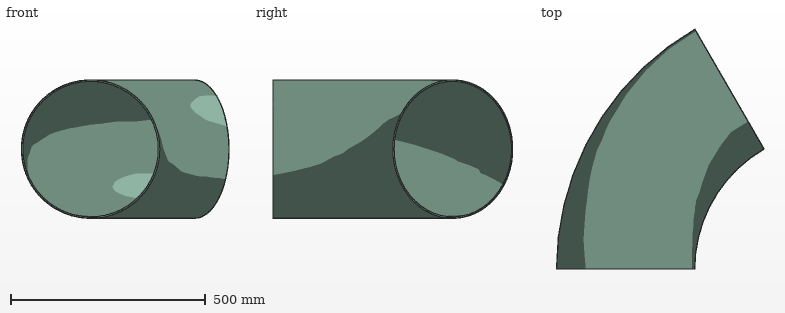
import cadquery as cq
import math

length_y = 616.5
bend_angle = 60.0
wall = 4.0

bend_ratio = 1.5
outer_diameter = length_y / (2 * math.sin(math.radians(bend_angle)))
inner_diameter = outer_diameter - 2 * wall
bend_radius = bend_ratio * outer_diameter

axis_start = (bend_radius, 6, 0)
axis_end = (bend_radius, 0, 0)

result = (
    cq.Workplane("XZ")
    .circle(outer_diameter / 2)
    .circle(inner_diameter / 2)
    .revolve(bend_angle, axis_start, axis_end)
)